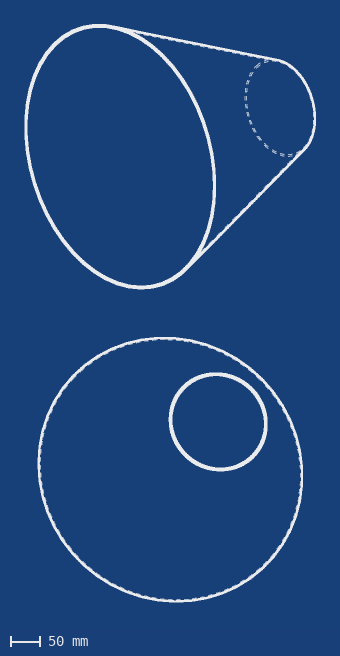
import cadquery as cq

large_diameter = 457.2
small_diameter = 168.3
length = 381.0
wall = 3.0

large_radius = large_diameter / 2
small_radius = small_diameter / 2


def reducer_shell():
    """Revolve the sloped wall section, flat at both ends, about the Y axis."""
    section = (
        cq.Workplane("XY")
        .moveTo(large_radius - wall, 0)
        .lineTo(large_radius, 0)
        .lineTo(small_radius, length)
        .lineTo(small_radius - wall, length)
        .close()
    )
    return section.revolve(360, (0, 0, 0), (0, 1, 0))


result = reducer_shell()